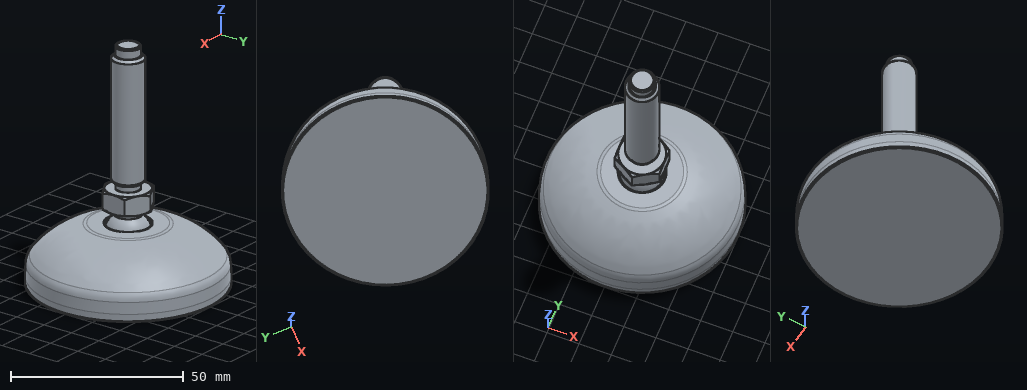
import cadquery as cq
import math

foot_radius = 29.99
foot_bottom_chamfer = 0.4
rim_top_z = 2.55
wall_top_radius = 29.8
wall_top_z = 6.2
dome_edge_radius = 28.7
dome_edge_z = 8.8
dome_arc_radius = 30.0
dome_top_z = 19.0
crown_edge_z = 18.75
crown_outer_radius = 13.1
crown_flat_radius = 12.0

ball_radius = 6.95
opening_radius = 13.3 / 2
opening_chamfer = 0.45
neck_radius = 8.1 / 2
neck_bottom_z = 21.7
ball_center_z = neck_bottom_z - math.sqrt(ball_radius**2 - neck_radius**2)

nut_across_flats = 14.0
nut_corner_diameter = nut_across_flats / math.cos(math.pi / 6)
nut_bottom_z = 23.75
nut_top_z = 29.9
nut_height = nut_top_z - nut_bottom_z
nut_face_radius = 6.95
nut_chamfer_angle = math.radians(30)

stud_radius = 10.0 / 2
relief_radius = 7.5 / 2
stud_end_radius = 8.1 / 2
stud_end_chamfer = stud_radius - stud_end_radius
stud_bottom_z = 31.75
stud_top_z = 71.55
tip_radius = 7.5 / 2
tip_chamfer = 0.45
total_height = 74.7


def revolve_about_z(profile):
    """Revolve a closed profile drawn in the XZ plane (radius, height)."""
    return profile.close().revolve(360, (0, 0, 0), (0, 1, 0))


def make_foot():
    profile = (
        cq.Workplane("XZ")
        .lineTo(foot_radius - foot_bottom_chamfer, 0)
        .lineTo(foot_radius, foot_bottom_chamfer)
        .lineTo(foot_radius, rim_top_z)
        .lineTo(wall_top_radius, wall_top_z)
        .tangentArcPoint((dome_edge_radius, dome_edge_z), relative=False)
        .radiusArc((crown_outer_radius, crown_edge_z), -dome_arc_radius)
        .lineTo(crown_flat_radius, dome_top_z)
        .lineTo(opening_radius + opening_chamfer, dome_top_z)
        .lineTo(opening_radius, dome_top_z - opening_chamfer)
        .lineTo(opening_radius, ball_center_z)
        .lineTo(0, ball_center_z)
    )
    return revolve_about_z(profile)


def make_ball_and_neck():
    ball = cq.Workplane("XY").sphere(ball_radius).translate((0, 0, ball_center_z))
    neck_height = nut_bottom_z - ball_center_z
    neck = cq.Workplane("XY").workplane(offset=ball_center_z).circle(neck_radius).extrude(neck_height)
    return ball.union(neck)


def make_nut():
    hexagon = (
        cq.Workplane("XY")
        .workplane(offset=nut_bottom_z)
        .polygon(6, nut_corner_diameter)
        .extrude(nut_height)
        .rotate((0, 0, 0), (0, 0, 1), 30)
    )
    trim_radius = nut_corner_diameter / 2
    trim_depth = (trim_radius - nut_face_radius) * math.tan(nut_chamfer_angle)
    envelope = revolve_about_z(
        cq.Workplane("XZ")
        .moveTo(0, nut_bottom_z)
        .lineTo(nut_face_radius, nut_bottom_z)
        .lineTo(trim_radius, nut_bottom_z + trim_depth)
        .lineTo(trim_radius, nut_top_z - trim_depth)
        .lineTo(nut_face_radius, nut_top_z)
        .lineTo(0, nut_top_z)
    )
    return hexagon.intersect(envelope)


def make_stud():
    profile = (
        cq.Workplane("XZ")
        .moveTo(0, nut_top_z)
        .lineTo(relief_radius, nut_top_z)
        .lineTo(relief_radius, stud_bottom_z)
        .lineTo(stud_end_radius, stud_bottom_z)
        .lineTo(stud_radius, stud_bottom_z + stud_end_chamfer)
        .lineTo(stud_radius, stud_top_z - stud_end_chamfer)
        .lineTo(stud_end_radius, stud_top_z)
        .lineTo(tip_radius, stud_top_z)
        .lineTo(tip_radius, total_height - tip_chamfer)
        .lineTo(tip_radius - tip_chamfer, total_height)
        .lineTo(0, total_height)
    )
    return revolve_about_z(profile)


result = make_foot().union(make_ball_and_neck()).union(make_nut()).union(make_stud())